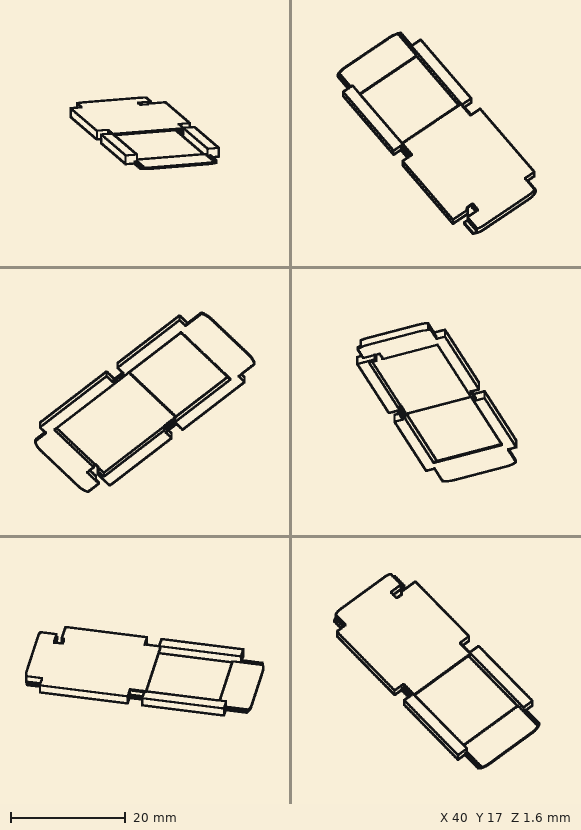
import cadquery as cq
import math

length = 40.0
width = 17.0
height = 1.6
half_width = width / 2

ledge_height = 0.4
sheet_thickness = 0.3
ledge_half_width = 6.9
core_half_width = 6.45

end_flat_half_width = 5.0
end_radius = 4.0

block_start = 3.05
block_end = 18.7
block_corner_run = 0.45
block_corner_radius = 2.4
rail_start = 21.25
rail_end = 35.8
window_start = 21.5
window_end = 34.3

slot_end = 4.15
pocket_end = 4.6
pocket_bottom = 3.85
pocket_top = 5.25
pocket_top_radius = 0.25
pocket_bottom_radius = 0.1
left_core_top = 6.2


def box(x_start, x_end, y_start, y_end, z_end, z_start=0.0):
    """Box given by its limits along each axis."""
    size = (x_end - x_start, y_end - y_start, z_end - z_start)
    return cq.Workplane("XY").box(*size, centered=False).translate((x_start, y_start, z_start))


def arc_inset(distance, radius):
    """Inset of a circular arc at a distance along its tangent."""
    return radius - math.sqrt(radius**2 - distance**2)


def make_outline():
    """Full-height body of the ledge outline, with arcs at both ends."""
    rise = ledge_half_width - end_flat_half_width
    inset = arc_inset(rise, end_radius)
    mid_inset = arc_inset(rise / 2, end_radius)
    mid_y = end_flat_half_width + rise / 2
    return (
        cq.Workplane("XY")
        .moveTo(0, -end_flat_half_width)
        .lineTo(0, end_flat_half_width)
        .threePointArc((mid_inset, mid_y), (inset, ledge_half_width))
        .lineTo(length - inset, ledge_half_width)
        .threePointArc((length - mid_inset, mid_y), (length, end_flat_half_width))
        .lineTo(length, -end_flat_half_width)
        .threePointArc((length - mid_inset, -mid_y), (length - inset, -ledge_half_width))
        .lineTo(inset, -ledge_half_width)
        .threePointArc((mid_inset, -mid_y), (0, -end_flat_half_width))
        .close()
        .extrude(height)
    )


def make_block():
    """Full-width thick block with one slightly eased corner."""
    inset = arc_inset(block_corner_run, block_corner_radius)
    mid_inset = arc_inset(block_corner_run / 2, block_corner_radius)
    tangent_x = block_start + block_corner_run
    return (
        cq.Workplane("XY")
        .moveTo(tangent_x, -half_width)
        .lineTo(block_end, -half_width)
        .lineTo(block_end, half_width)
        .lineTo(block_start, half_width)
        .lineTo(block_start, inset - half_width)
        .threePointArc(
            (tangent_x - block_corner_run / 2, mid_inset - half_width),
            (tangent_x, -half_width),
        )
        .close()
        .extrude(height)
    )


def make_slot():
    """Through slot open at the +Y side, ending in a rounded pocket."""
    neck = box(block_start, slot_end, pocket_bottom, half_width, height)
    pocket = box(block_start, pocket_end, pocket_bottom, pocket_top, height)
    pocket = pocket.edges("|Z and >X and >Y").fillet(pocket_top_radius)
    pocket = pocket.edges("|Z and >X and <Y").fillet(pocket_bottom_radius)
    return neck.union(pocket)


outline = make_outline()
ledges = outline.intersect(box(0, length, -half_width, half_width, ledge_height))
left_core = outline.intersect(box(0, block_start, -core_half_width, left_core_top, height))
middle_core = box(block_start, window_start, -core_half_width, core_half_width, height)
result = ledges.union(left_core).union(middle_core).union(make_block())

result = result.cut(box(window_start, window_end, -core_half_width, core_half_width, height))
result = result.cut(
    box(window_end, length, -core_half_width, core_half_width, height, sheet_thickness)
)

cavity_roof = height - sheet_thickness
result = result.cut(box(pocket_end, window_start, -core_half_width, core_half_width, cavity_roof))

for rail_bottom in (-half_width, core_half_width):
    rail_top = rail_bottom + half_width - core_half_width
    result = result.union(box(rail_start, rail_end, rail_bottom, rail_top, height))

result = result.cut(make_slot())